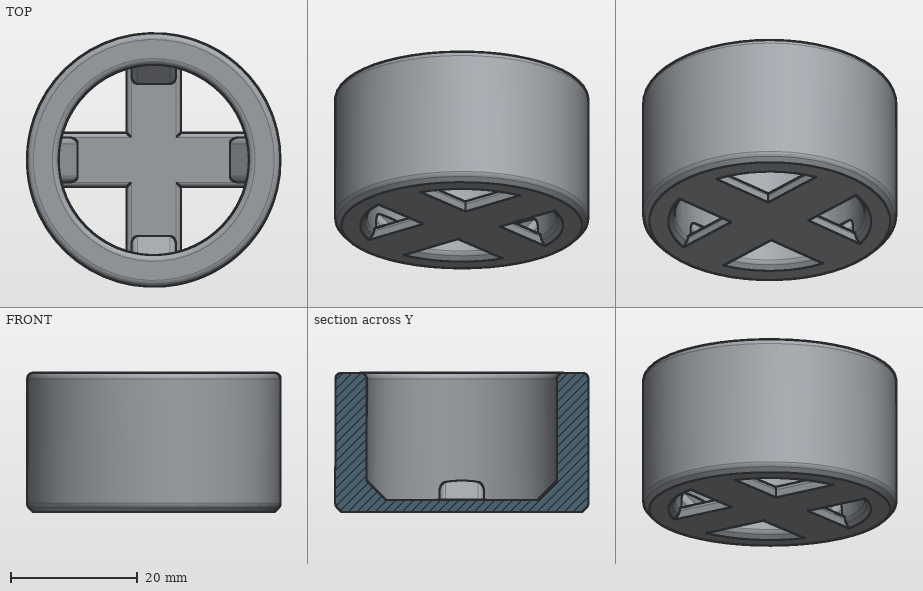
import cadquery as cq

outer_diameter = 40
bore_diameter = 30
height = 22
rim_fillet = 1.0
base_chamfer = 1.0
base_blend = 1.0

bar_width = 8.6
bar_thickness = 2
bar_fillet = 0.75

gusset_width = bar_width - 2 * bar_fillet
gusset_reach = 3.0
gusset_height = 3.0
gusset_fillet = 1.0
gusset_count = 4

outer_radius = outer_diameter / 2
bore_radius = bore_diameter / 2
embed_radius = (outer_radius + bore_radius) / 2


def make_ring():
    ring = cq.Workplane("XY").circle(outer_radius).circle(bore_radius).extrude(height)
    ring = ring.faces("<Z").edges().chamfer(base_chamfer)
    chamfer_tops = cq.selectors.BoxSelector(
        (-outer_radius, -outer_radius, base_chamfer / 2),
        (outer_radius, outer_radius, base_chamfer * 1.5),
    )
    ring = ring.edges("%CIRCLE").edges(chamfer_tops).fillet(base_blend)
    return ring.faces(">Z").edges().fillet(rim_fillet)


def make_cross():
    bar_length = 2 * embed_radius
    bar_x = cq.Workplane("XY").rect(bar_length, bar_width).extrude(bar_thickness)
    bar_y = cq.Workplane("XY").rect(bar_width, bar_length).extrude(bar_thickness)
    cross = bar_x.union(bar_y)
    side_edges = cq.selectors.BoxSelector(
        (-bore_radius, -bore_radius, 0),
        (bore_radius, bore_radius, 2 * bar_thickness),
    )
    return cross.faces(">Z").edges(side_edges).fillet(bar_fillet)


def make_gusset():
    inner_radius = bore_radius - gusset_reach
    slope = gusset_height / gusset_reach
    embed_top = bar_thickness + slope * (embed_radius - inner_radius)
    hidden_depth = bar_thickness / 2
    foot_radius = inner_radius - hidden_depth / slope
    foot_level = bar_thickness - hidden_depth
    profile = [(foot_radius, foot_level), (embed_radius, foot_level), (embed_radius, embed_top)]
    gusset = (
        cq.Workplane("XZ")
        .polyline(profile)
        .close()
        .extrude(gusset_width / 2, both=True)
    )
    return gusset.edges("not (|X or |Y or |Z)").fillet(gusset_fillet)


result = make_ring().union(make_cross())
for index in range(gusset_count):
    angle = index * 360 / gusset_count
    result = result.union(make_gusset().rotate((0, 0, 0), (0, 0, 1), angle))